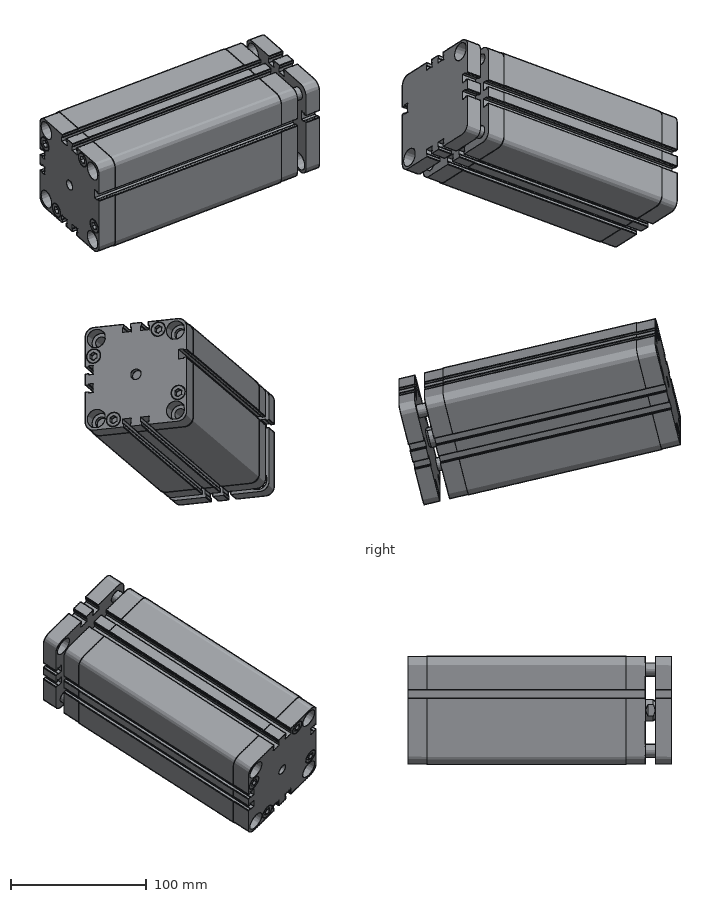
import cadquery as cq

TOTAL_LENGTH = 194.5
CAP_LENGTH = 14.2
PLATE_THICKNESS = 12.0
GAP_LENGTH = 7.4
FRONT = -TOTAL_LENGTH / 2
TUBE_FRONT = FRONT + CAP_LENGTH
PLATE_BACK = TOTAL_LENGTH / 2
PLATE_FRONT = PLATE_BACK - PLATE_THICKNESS
HOUSING_BACK = PLATE_FRONT - GAP_LENGTH
TUBE_BACK = HOUSING_BACK - CAP_LENGTH

TUBE_WIDTH = 80.0
CAP_WIDTH = 79.4
CORNER_RADIUS = 7.0

SLOT_FLOOR = 33.5
LIP_DEPTH = 3.0
SLOT_UNDERCUT = 0.8
MOUTH_CHAMFER = 0.4
PAIR_MOUTH = 5.3
PAIR_OFFSET = 7.0
SINGLE_MOUTH = 5.8
SINGLE_OFFSET = 12.0

BOLT_OFFSET = 31.0
BOLT_DIAMETER = 8.5
COUNTERBORE_DIAMETER = 14.0
COUNTERBORE_DEPTH = 10.7

SCREW_NEAR = 17.5
SCREW_FAR = 33.0
SCREW_RECESS_DIAMETER = 11.0
SCREW_HEAD_DIAMETER = 10.5
SCREW_HEAD_DEPTH = 5.0
SOCKET_DIAMETER = 6.0
SOCKET_DEPTH = 3.9

CENTER_HOLE_DIAMETER = 8.0
CENTER_HOLE_DEPTH = 4.0

GUIDE_OFFSET = 30.0
GUIDE_DIAMETER = 10.0
ROD_DIAMETER = 16.0
ROD_CHAMFER = 1.5
ROD_FLATS = 13.5
FLAT_LENGTH = 5.3
FLAT_RUNOUT = 1.5


def section_plane(y):
    """Plane across the part at y, with local x along X, local y along Z and normal along -Y."""
    return cq.Workplane("XZ", origin=(0, y, 0))


def square_block(width, y_start, y_end):
    block = section_plane(y_start).rect(width, width).extrude(y_start - y_end)
    return block.edges("|Y").fillet(CORNER_RADIUS)


def cylinders(points, diameter, y_start, y_end):
    return section_plane(y_start).pushPoints(points).circle(diameter / 2).extrude(y_start - y_end)


def t_slot(mouth, offset, turn, width, y_start, y_end):
    """Slot cutter for the top side of a block, shifted along X, then turned about the Y axis."""
    surface = width / 2
    lip = TUBE_WIDTH / 2 - LIP_DEPTH
    narrow = mouth / 2
    wide = narrow + SLOT_UNDERCUT
    flared = narrow + MOUTH_CHAMFER
    outline = [
        (offset - wide, SLOT_FLOOR),
        (offset + wide, SLOT_FLOOR),
        (offset + wide, lip),
        (offset + narrow, lip),
        (offset + narrow, surface - MOUTH_CHAMFER),
        (offset + flared, surface),
        (offset - flared, surface),
        (offset - narrow, surface - MOUTH_CHAMFER),
        (offset - narrow, lip),
        (offset - wide, lip),
    ]
    cutter = section_plane(y_start).polyline(outline).close().extrude(y_start - y_end)
    return cutter.rotate((0, 0, 0), (0, 1, 0), turn)


def slotted_block(width, y_start, y_end):
    """Square block with slot pairs on the top, bottom and -X sides and one slot on the +X side."""
    block = square_block(width, y_start, y_end)
    for turn in (0, 180, -90):
        for offset in (-PAIR_OFFSET, PAIR_OFFSET):
            block = block.cut(t_slot(PAIR_MOUTH, offset, turn, width, y_start, y_end))
    return block.cut(t_slot(SINGLE_MOUTH, -SINGLE_OFFSET, 90, width, y_start, y_end))


def piston_rod():
    """Chamfered rod with two flats facing -X and +X, each sloping out to the full diameter."""
    rod = cylinders([(0, 0)], ROD_DIAMETER, HOUSING_BACK, PLATE_FRONT)
    rod = rod.faces(">Y").chamfer(ROD_CHAMFER)
    flat_start = PLATE_FRONT - FLAT_LENGTH
    flat = ROD_FLATS / 2
    outside = ROD_DIAMETER / 2
    cutter = (
        cq.Workplane("XY")
        .polyline([
            (flat, PLATE_FRONT),
            (flat, flat_start),
            (outside, flat_start - FLAT_RUNOUT),
            (outside, PLATE_FRONT),
        ])
        .close()
        .extrude(outside, both=True)
    )
    return rod.cut(cutter).cut(cutter.mirror("YZ"))


body = slotted_block(CAP_WIDTH, FRONT, TUBE_FRONT)
body = body.union(slotted_block(TUBE_WIDTH, TUBE_FRONT, TUBE_BACK))
body = body.union(slotted_block(CAP_WIDTH, TUBE_BACK, HOUSING_BACK))
body = body.union(slotted_block(CAP_WIDTH, PLATE_FRONT, PLATE_BACK))

through_bolts = [(-BOLT_OFFSET, BOLT_OFFSET), (BOLT_OFFSET, -BOLT_OFFSET)]
blind_bolts = [(-BOLT_OFFSET, -BOLT_OFFSET), (BOLT_OFFSET, BOLT_OFFSET)]
body = body.cut(cylinders(through_bolts, BOLT_DIAMETER, FRONT, HOUSING_BACK))
body = body.cut(cylinders(through_bolts, COUNTERBORE_DIAMETER, PLATE_FRONT, PLATE_BACK))
body = body.cut(cylinders(blind_bolts, BOLT_DIAMETER, FRONT, TUBE_FRONT))
all_bolts = through_bolts + blind_bolts
body = body.cut(cylinders(all_bolts, COUNTERBORE_DIAMETER, FRONT, FRONT + COUNTERBORE_DEPTH))

screws = [
    (SCREW_NEAR, SCREW_FAR),
    (SCREW_FAR, -SCREW_NEAR),
    (-SCREW_NEAR, -SCREW_FAR),
    (-SCREW_FAR, SCREW_NEAR),
]
head_back = FRONT + SCREW_HEAD_DEPTH
recesses = cylinders(screws, SCREW_RECESS_DIAMETER, FRONT, head_back)
heads = cylinders(screws, SCREW_HEAD_DIAMETER, FRONT, head_back)
body = body.cut(recesses.cut(heads))
for x, z in screws:
    socket = (
        section_plane(FRONT)
        .center(x, z)
        .transformed(rotate=(0, 0, 90))
        .polygon(6, SOCKET_DIAMETER)
        .extrude(-SOCKET_DEPTH)
    )
    body = body.cut(socket)

body = body.cut(cylinders([(0, 0)], CENTER_HOLE_DIAMETER, FRONT, FRONT + CENTER_HOLE_DEPTH))

guides = [(-GUIDE_OFFSET, -GUIDE_OFFSET), (GUIDE_OFFSET, GUIDE_OFFSET)]
body = body.union(cylinders(guides, GUIDE_DIAMETER, HOUSING_BACK, PLATE_FRONT))
result = body.union(piston_rod())